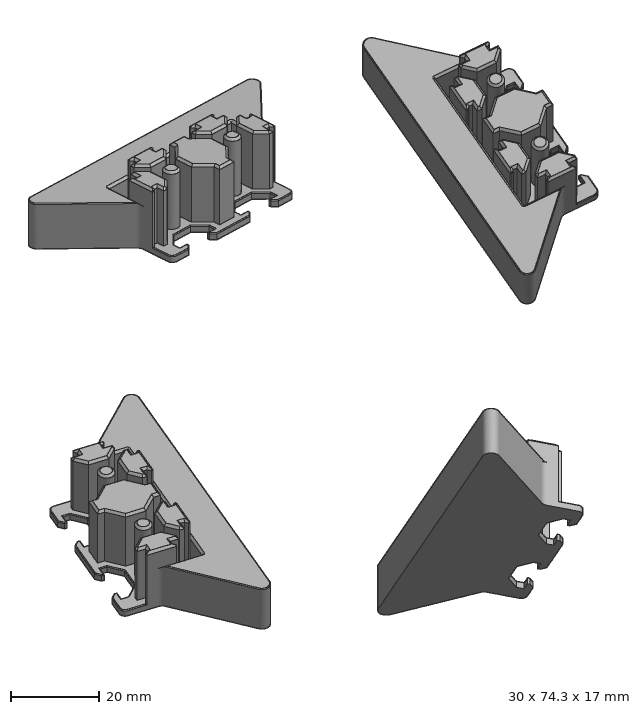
import cadquery as cq
import math

cell = 20.0
overall_length = 74.3
block_height = 12.0
total_height = 17.0
plate_thickness = 1.8

half_cell = cell / 2
cell_centers = (-half_cell, half_cell)
block_back = -cell
tip_radius = 2.0
corner_blend = 2.0
plate_corner_radius = 1.5
rim_chamfer = 0.2
plate_chamfer = 0.2
pocket_chamfer = 0.6
plug_chamfer = 0.6
pin_diameter = 4.0

plug_floor = 4.0
plug_floor_half = 2.5
plug_wide_half = 5.2
plug_back = 7.9
neck_half = 3.1
flare_half = 3.9
flare_setback = 0.45
mouth_half = 3.7

slot_floor = 3.4
slot_floor_half = 2.75
slot_wide_half = 5.7
slot_back = 8.2
lip_half = 3.4
slot_mouth_half = 4.6

core_half_length = half_cell - plug_floor
core_end_half = 2.4


def mirrored_outline(upper):
    """Closed outline from its +Y half, mirrored about the X axis."""
    lower = [(x, -y) for x, y in reversed(upper) if y > 0]
    return cq.Workplane("XY").polyline(upper + lower).close()


def chamfered_post(outline):
    """Post of full height with a chamfered top."""
    return outline.extrude(total_height).faces(">Z").chamfer(plug_chamfer)


def make_pocket():
    """Space above the plate, open towards +X, with a chamfered upper rim."""
    length_x = 2 * cell
    center_x = length_x / 2 - half_cell
    depth = block_height - plate_thickness
    space = (
        cq.Workplane("XY", origin=(center_x, 0, plate_thickness))
        .rect(length_x, 2 * cell)
        .extrude(depth)
    )
    rim = (
        cq.Workplane("XY", origin=(center_x, 0, block_height - pocket_chamfer))
        .rect(length_x, 2 * cell)
        .extrude(pocket_chamfer, taper=-45)
    )
    return space.union(rim)


def make_block():
    """Sloping block with its pocket, ending where its slopes have blended into the profile sides."""
    tip_loss = tip_radius / math.tan(math.pi / 8) - tip_radius
    half_base = overall_length / 2 + tip_loss
    meeting_x = block_back + half_base - cell
    wedge = (
        cq.Workplane("XY")
        .polyline([
            (block_back, -half_base),
            (meeting_x, -cell),
            (meeting_x, cell),
            (block_back, half_base),
        ])
        .close()
        .extrude(block_height)
        .edges("|Z and (<Y or >Y)")
        .fillet(tip_radius)
    )
    profile = cq.Workplane("XY").box(cell, 2 * cell, block_height, centered=(True, True, False))
    body = wedge.union(profile)
    for side in (-1, 1):
        corner = cq.selectors.NearestToPointSelector((meeting_x, side * cell, block_height / 2))
        body = body.edges(corner).fillet(corner_blend)
    body = body.faces(">Z").chamfer(rim_chamfer)
    blend_end = meeting_x + corner_blend * math.tan(math.pi / 8)
    beyond = (
        cq.Workplane("XY")
        .box(cell, 3 * cell, block_height, centered=(False, True, False))
        .translate((blend_end, 0, 0))
    )
    return body.cut(beyond).cut(make_pocket())


def make_open_slot(center_y):
    """T-slot cut through the plate on the +X side of one cell."""
    outline = mirrored_outline([
        (slot_floor, slot_floor_half),
        (slot_floor + slot_wide_half - slot_floor_half, slot_wide_half),
        (slot_back, slot_wide_half),
        (slot_back, lip_half),
        (half_cell - (slot_mouth_half - lip_half), lip_half),
        (half_cell, slot_mouth_half),
    ])
    return outline.extrude(plate_thickness).translate((0, center_y, 0))


def make_plate():
    """Base plate with rounded corners and two open T-slots, its upper edges broken."""
    plate = (
        cq.Workplane("XY")
        .box(cell, 2 * cell, plate_thickness, centered=(True, True, False))
        .edges("|Z and >X")
        .fillet(plate_corner_radius)
    )
    for center_y in cell_centers:
        plate = plate.cut(make_open_slot(center_y))
    return plate.faces(">Z").chamfer(plate_chamfer)


def make_plug(direction, center_y):
    """T-slot plug standing on the plate, opening at the given angle from +X."""
    tee = mirrored_outline([
        (plug_floor, plug_floor_half),
        (plug_floor + plug_wide_half - plug_floor_half, plug_wide_half),
        (plug_back, plug_wide_half),
        (plug_back, neck_half),
        (half_cell, neck_half),
    ])
    flare_end_half = flare_half + flare_setback
    flare = mirrored_outline([(half_cell - flare_end_half, 0), (half_cell, flare_end_half)])
    narrowing = (flare_half - mouth_half) / flare_setback
    taper = mirrored_outline([(0, mouth_half + half_cell * narrowing), (half_cell, mouth_half)])
    mouth = chamfered_post(flare).intersect(chamfered_post(taper))
    plug = chamfered_post(tee).union(mouth)
    return plug.rotate((0, 0, 0), (0, 0, 1), direction).translate((0, center_y, 0))


def make_pin(center_y):
    """Round pin in the centre bore of one cell."""
    return chamfered_post(cq.Workplane("XY").circle(pin_diameter / 2)).translate((0, center_y, 0))


def make_core():
    """Plug filling the octagonal chamber between the two cells."""
    shoulder = plug_floor_half + core_half_length - core_end_half
    right_side = [
        (plug_floor_half, core_half_length),
        (shoulder, core_end_half),
        (plug_back, core_end_half),
        (plug_back, -core_end_half),
        (shoulder, -core_end_half),
        (plug_floor_half, -core_half_length),
    ]
    left_side = [(-x, -y) for x, y in right_side]
    return chamfered_post(cq.Workplane("XY").polyline(right_side + left_side).close())


result = make_block().union(make_plate()).union(make_core())
for center_y in cell_centers:
    result = result.union(make_plug(180, center_y))
    result = result.union(make_plug(math.copysign(90, center_y), center_y))
    result = result.union(make_pin(center_y))